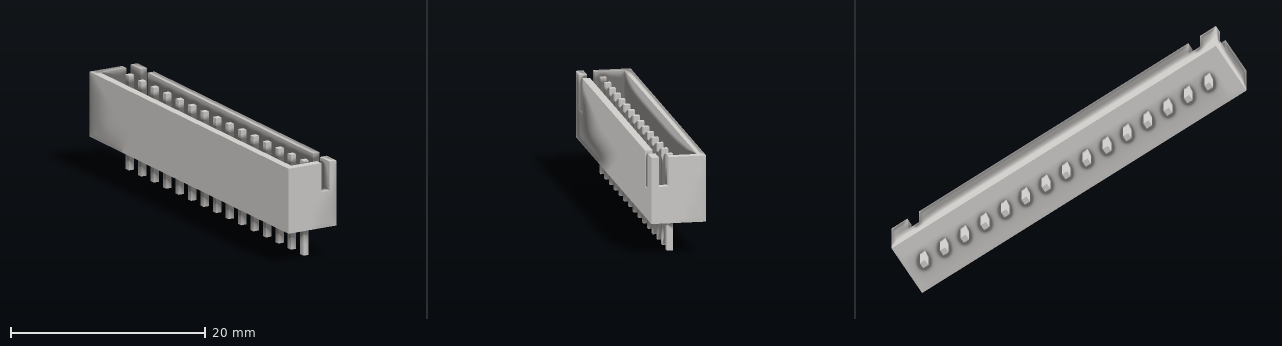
import cadquery as cq

PIN_COUNT = 15
PIN_PITCH = 2.5
PIN_SIZE = 0.64
PIN_TAIL = 3.4
PIN_TOP = 6.8
PIN_TO_BACK = 2.375
PIN_TO_END = 2.45

HOUSING_LENGTH = (PIN_COUNT - 1) * PIN_PITCH + 2 * PIN_TO_END
HOUSING_WIDTH = 5.75
HOUSING_HEIGHT = 7.0
LONG_WALL = 0.81
END_WALL = 0.85
FLOOR = 2.0
BACK_FACE_Y = PIN_TO_BACK
FRONT_FACE_Y = BACK_FACE_Y - HOUSING_WIDTH
END_FACE_X = HOUSING_LENGTH / 2

END_NOTCH_DEPTH = 3.1
END_NOTCH_WIDTH = 1.0
BACK_SLOT_DEPTH = 3.75
BACK_SLOT_WIDTH = 1.45
BACK_SLOT_TO_END = 1.95


def block(x_range, y_range, z_range):
    """Axis-aligned box between the given limits."""
    lows, highs = zip(x_range, y_range, z_range)
    sizes = [high - low for low, high in zip(lows, highs)]
    return cq.Workplane("XY").box(*sizes, centered=False).translate(lows)


def housing():
    """Open-topped shell."""
    shell = block(
        (-END_FACE_X, END_FACE_X), (FRONT_FACE_Y, BACK_FACE_Y), (0, HOUSING_HEIGHT)
    )
    cavity = block(
        (-END_FACE_X + END_WALL, END_FACE_X - END_WALL),
        (FRONT_FACE_Y + LONG_WALL, BACK_FACE_Y - LONG_WALL),
        (FLOOR, HOUSING_HEIGHT),
    )
    return shell.cut(cavity)


def end_notches():
    """Cutter through both end walls, just in front of the back wall."""
    back = BACK_FACE_Y - LONG_WALL
    return block(
        (-END_FACE_X, END_FACE_X),
        (back - END_NOTCH_WIDTH, back),
        (HOUSING_HEIGHT - END_NOTCH_DEPTH, HOUSING_HEIGHT),
    )


def back_slot(side):
    """Cutter through the back wall near the left (-1) or right (+1) end."""
    outer = side * (END_FACE_X - BACK_SLOT_TO_END)
    inner = outer - side * BACK_SLOT_WIDTH
    return block(
        (min(outer, inner), max(outer, inner)),
        (BACK_FACE_Y - LONG_WALL, BACK_FACE_Y),
        (HOUSING_HEIGHT - BACK_SLOT_DEPTH, HOUSING_HEIGHT),
    )


def pin(index):
    """Square pin passing through the floor."""
    x = (index - (PIN_COUNT - 1) / 2) * PIN_PITCH
    half = PIN_SIZE / 2
    return block((x - half, x + half), (-half, half), (-PIN_TAIL, PIN_TOP))


result = housing().cut(end_notches())
for side in (-1, 1):
    result = result.cut(back_slot(side))
for index in range(PIN_COUNT):
    result = result.union(pin(index))